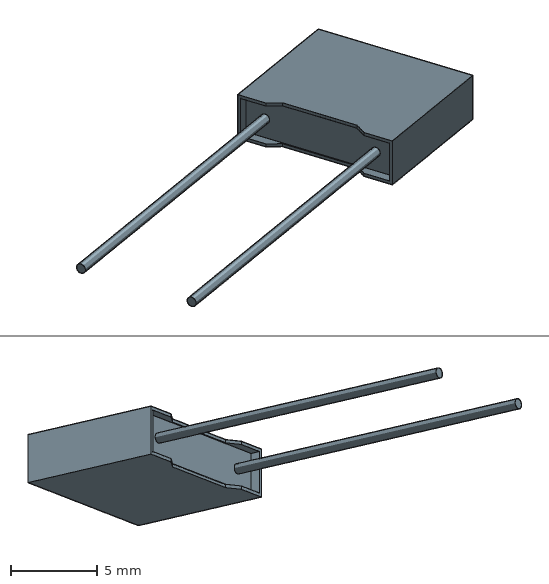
import cadquery as cq

total_length = 29.0
case_width = 10.5
case_length = 9.02
case_height = 2.93

side_wall = 0.2
face_wall = 0.2
recess_depth = 0.6

notch_mouth_width = 6.67
notch_floor_width = 5.05
notch_depth = 0.52

lead_diameter = 0.6
lead_spacing = 7.5
lead_length = total_length - case_length


def make_case():
    """Solid block with its lead end on Y = 0, centred in X and Z."""
    return cq.Workplane("XY").box(case_width, case_length, case_height, centered=(True, False, True))


def make_recess():
    """Shallow rectangular pocket that leaves a thin rim around the lead end."""
    return cq.Workplane("XY").box(
        case_width - 2 * side_wall,
        recess_depth,
        case_height - 2 * face_wall,
        centered=(True, False, True),
    )


def make_notch():
    """Trapezoid running through the full case height."""
    half_mouth = notch_mouth_width / 2
    half_floor = notch_floor_width / 2
    outline = [
        (-half_mouth, 0),
        (-half_floor, notch_depth),
        (half_floor, notch_depth),
        (half_mouth, 0),
    ]
    return cq.Workplane("XY").polyline(outline).close().extrude(case_height / 2, both=True)


def make_leads():
    """Two round wires from the recess floor out to -Y."""
    return (
        cq.Workplane("XZ", origin=(0, recess_depth, 0))
        .pushPoints([(-lead_spacing / 2, 0), (lead_spacing / 2, 0)])
        .circle(lead_diameter / 2)
        .extrude(lead_length + recess_depth)
    )


result = make_case().cut(make_recess()).cut(make_notch()).union(make_leads())